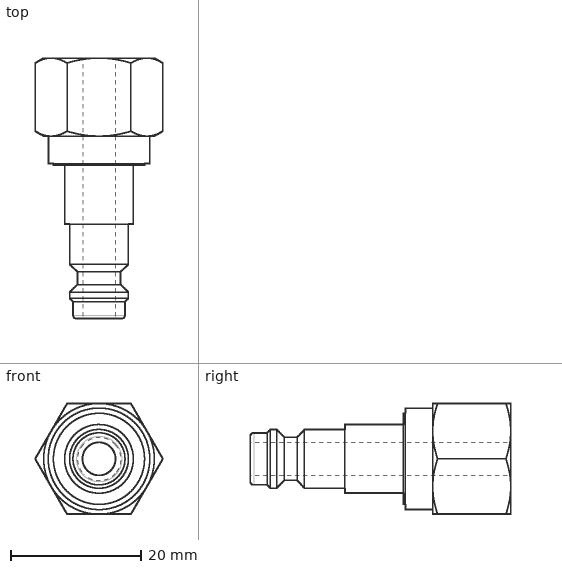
import cadquery as cq
import math

total_length = 40.0
across_flats = 17.0
across_corners = across_flats / math.cos(math.radians(30))
hex_length = 12.0
hex_start = total_length - hex_length
chamfer_angle = 30.0

bore_radius = 2.5
tip_radius = 4.0
barrel_radius = 4.5
groove_radius = 3.3
shank_radius = 5.3
step_radius = 7.0
collar_radius = 7.8
tip_fillet = 0.5

tip_end = 2.6
bead_start = 3.1
bead_end = 4.1
groove_start = 5.25
groove_end = 7.2
barrel_start = 8.3
barrel_end = 14.5
shank_end = 23.5
step_end = 23.8


def revolve_about_y(points):
    """Solid of revolution from (radius, Y) points."""
    return cq.Workplane("XY").polyline(points).close().revolve(360, (0, 0, 0), (0, 1, 0))


def make_plug():
    """Stepped plug with a rounded tip edge."""
    plug = revolve_about_y([
        (0, 0),
        (tip_radius, 0),
        (tip_radius, tip_end),
        (barrel_radius, bead_start),
        (barrel_radius, bead_end),
        (groove_radius, groove_start),
        (groove_radius, groove_end),
        (barrel_radius, barrel_start),
        (barrel_radius, barrel_end),
        (shank_radius, barrel_end),
        (shank_radius, shank_end),
        (step_radius, shank_end),
        (step_radius, step_end),
        (collar_radius, step_end),
        (collar_radius, hex_start),
        (0, hex_start),
    ])
    return plug.faces("<Y").edges().fillet(tip_fillet)


def make_hex():
    """Hexagonal prism with its corners chamfered at both ends."""
    prism = (
        cq.Workplane("XZ", origin=(0, total_length, 0))
        .polygon(6, across_corners)
        .extrude(hex_length)
    )
    face_radius = across_flats / 2
    corner_radius = across_corners / 2
    chamfer_length = (corner_radius - face_radius) * math.tan(math.radians(chamfer_angle))
    envelope = revolve_about_y([
        (0, hex_start),
        (face_radius, hex_start),
        (corner_radius, hex_start + chamfer_length),
        (corner_radius, total_length - chamfer_length),
        (face_radius, total_length),
        (0, total_length),
    ])
    return prism.intersect(envelope)


def make_bore():
    return cq.Workplane("XZ").circle(bore_radius).extrude(-total_length)


result = make_plug().union(make_hex()).cut(make_bore())